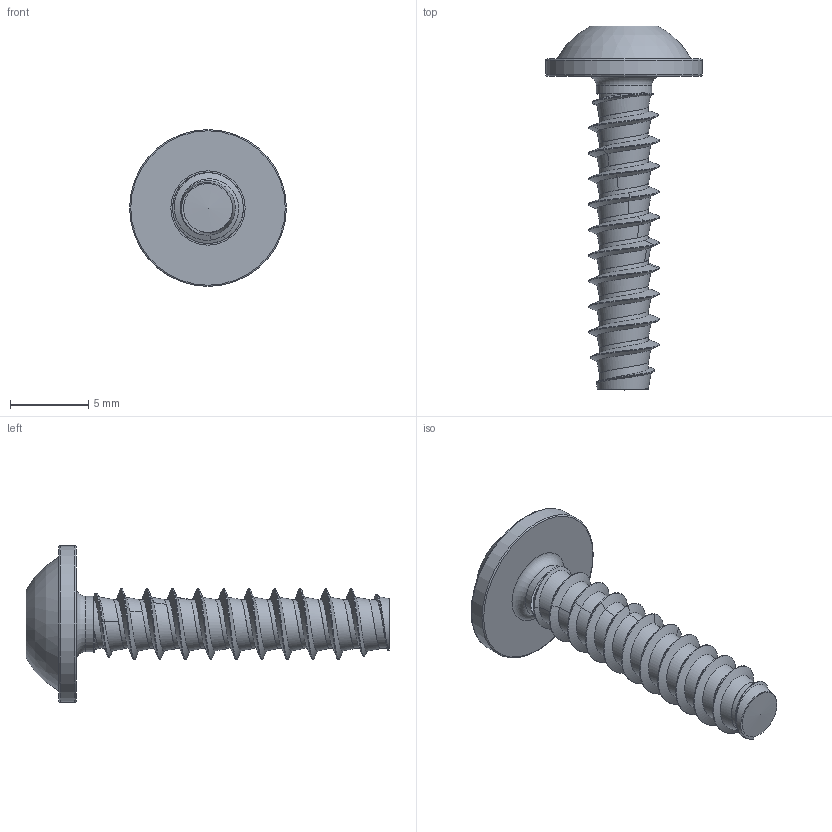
import cadquery as cq
import math


FLANGE_RADIUS = 5.0
FLANGE_THICKNESS = 1.1
FLANGE_EDGE_FILLET = 0.08
HEAD_HEIGHT = 3.2
DOME_BASE_RADIUS = 4.26
DOME_FLAT_RADIUS = 2.14

SHANK_LENGTH = 20.0
NECK_RADIUS = 1.77
NECK_LENGTH = 1.1
NECK_FILLET = 0.6
CORE_RADIUS = 1.56
TIP_CONE_HEIGHT = 0.05
TIP_PLANE_DEPTH = SHANK_LENGTH - TIP_CONE_HEIGHT

PITCH = 1.627
FIRST_CREST_DEPTH = 0.85
MIN_CREST_DEPTH = NECK_LENGTH + 0.03
CREST_RADIUS = 2.25
CREST_FLAT = 0.05
HEAD_FLANK_WIDTH = 0.28
TIP_FLANK_WIDTH = 0.20
LEAD_IN_START_TURN = -0.45
LEAD_IN_END_TURN = 1.25
RUN_OUT_START_TURN = 10.25
RUN_OUT_END_TURN = 11.5
RIDGE_END_TURN = 11.7

SHOULDER_RADIUS = 1.76
TAPER_WIDTH = 1.06
TAPER_SLOPE = (SHOULDER_RADIUS - CORE_RADIUS) / TAPER_WIDTH

EMBED_RADIUS = 1.3
SINK = 0.04
TAIL_LIP = 0.01
POINTS_PER_SPAN = 16


def revolve_about_y(profile):
    return profile.close().revolve(360, (0, 0, 0), (0, 1, 0))


def make_head():
    dome_height = HEAD_HEIGHT - FLANGE_THICKNESS
    base_rise = (DOME_BASE_RADIUS**2 - DOME_FLAT_RADIUS**2 - dome_height**2) / (2 * dome_height)
    sphere_radius = math.hypot(DOME_BASE_RADIUS, base_rise)
    arc_mid_rise = base_rise + dome_height / 2
    arc_mid_radius = math.sqrt(sphere_radius**2 - arc_mid_rise**2)
    dome = revolve_about_y(
        cq.Workplane("XY")
        .lineTo(0, HEAD_HEIGHT)
        .lineTo(DOME_FLAT_RADIUS, HEAD_HEIGHT)
        .threePointArc(
            (arc_mid_radius, FLANGE_THICKNESS + dome_height / 2),
            (DOME_BASE_RADIUS, FLANGE_THICKNESS),
        )
        .lineTo(DOME_BASE_RADIUS, 0)
    )
    flange = revolve_about_y(
        cq.Workplane("XY")
        .lineTo(FLANGE_RADIUS, 0)
        .lineTo(FLANGE_RADIUS, FLANGE_THICKNESS)
        .lineTo(0, FLANGE_THICKNESS)
    ).edges().fillet(FLANGE_EDGE_FILLET)
    return flange.union(dome)


def make_shank():
    fillet_mid = NECK_FILLET * (1 - math.sqrt(0.5))
    return revolve_about_y(
        cq.Workplane("XY")
        .moveTo(0, FLANGE_THICKNESS)
        .lineTo(NECK_RADIUS + NECK_FILLET, FLANGE_THICKNESS)
        .lineTo(NECK_RADIUS + NECK_FILLET, 0)
        .threePointArc((NECK_RADIUS + fillet_mid, -fillet_mid), (NECK_RADIUS, -NECK_FILLET))
        .lineTo(NECK_RADIUS, -NECK_LENGTH)
        .lineTo(CORE_RADIUS, -NECK_LENGTH)
        .lineTo(CORE_RADIUS, -SHANK_LENGTH - PITCH)
        .lineTo(0, -SHANK_LENGTH - PITCH)
    )


def helix_point(turn, radius, axial_offset):
    angle = 2 * math.pi * turn
    depth = FIRST_CREST_DEPTH + PITCH * turn + axial_offset
    return cq.Vector(radius * math.cos(angle), -depth, radius * math.sin(angle))


def thread_fullness(turn):
    """Height of the thread as a fraction of its full height."""
    lead_in = (turn - LEAD_IN_START_TURN) / (LEAD_IN_END_TURN - LEAD_IN_START_TURN)
    run_out = (RUN_OUT_END_TURN - turn) / (RUN_OUT_END_TURN - RUN_OUT_START_TURN)
    return max(0, min(lead_in, 1, run_out))


def thread_section(turn):
    """Corners (radius, axial offset) of the thread together with its tapered tail."""
    fullness = thread_fullness(turn)
    shift = max(0, MIN_CREST_DEPTH - FIRST_CREST_DEPTH - PITCH * turn)
    crest = SHOULDER_RADIUS + fullness * (CREST_RADIUS - SHOULDER_RADIUS)
    half_flat = CREST_FLAT / 2
    head_base = shift - half_flat - fullness * HEAD_FLANK_WIDTH
    tip_base = shift + CREST_FLAT + fullness * TIP_FLANK_WIDTH
    return [
        (EMBED_RADIUS, head_base),
        (CORE_RADIUS - SINK, head_base),
        (crest, shift - half_flat),
        (crest, shift + half_flat),
        (SHOULDER_RADIUS - TAPER_SLOPE * tip_base, tip_base),
        (CORE_RADIUS + TAIL_LIP, TAPER_WIDTH),
        (EMBED_RADIUS, TAPER_WIDTH),
    ]


def section_corners(turn):
    return [helix_point(turn, *corner) for corner in thread_section(turn)]


def ridge_span_faces(start_turn, end_turn):
    """Ruled faces between the rails that the section corners trace over one span."""
    turn_step = (end_turn - start_turn) / POINTS_PER_SPAN
    sections = [section_corners(start_turn + turn_step * i) for i in range(POINTS_PER_SPAN + 1)]
    rails = [cq.Edge.makeSpline(list(points)) for points in zip(*sections)]
    return [cq.Face.makeRuledSurface(rails[i - 1], rails[i]) for i in range(len(rails))]


def ridge_end_face(turn):
    return cq.Face.makeFromWires(cq.Wire.makePolygon(section_corners(turn), close=True))


def make_thread():
    """Closed helical ridge, built in spans of about one turn each."""
    turn_total = RIDGE_END_TURN - LEAD_IN_START_TURN
    span_count = math.ceil(turn_total)
    span = turn_total / span_count
    faces = [ridge_end_face(LEAD_IN_START_TURN), ridge_end_face(RIDGE_END_TURN)]
    for i in range(span_count):
        start_turn = LEAD_IN_START_TURN + span * i
        faces += ridge_span_faces(start_turn, start_turn + span)
    solid = cq.Solid.makeSolid(cq.Shell.makeShell(faces))
    return cq.Workplane(solid.fix())


def make_beyond_tip():
    """Block of space past the flat plane where the thread and the core end."""
    side = 4 * CREST_RADIUS
    depth = 4 * PITCH
    return cq.Workplane("XY").box(side, depth, side).translate((0, -TIP_PLANE_DEPTH - depth / 2, 0))


def make_tip_cone():
    return revolve_about_y(
        cq.Workplane("XY")
        .moveTo(0, -TIP_PLANE_DEPTH)
        .lineTo(CORE_RADIUS, -TIP_PLANE_DEPTH)
        .lineTo(0, -SHANK_LENGTH)
    )


threaded_shank = make_shank().union(make_thread()).cut(make_beyond_tip())
result = make_head().union(threaded_shank).union(make_tip_cone())